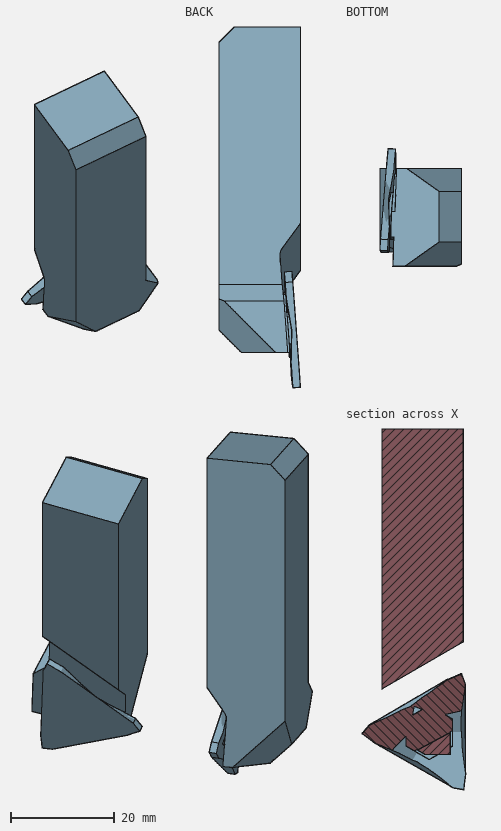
import cadquery as cq
import math

shank_width = 15.8
shank_length = 63.1
top_chamfer = 2.95

lug_depth = 3.15
lug_height = 10.0

corner_cut = 4.35
front_bevel_reach = 10.6
back_bevel_reach = 11.0
front_bevel_depth = (front_bevel_reach - corner_cut) / math.sqrt(2)
back_bevel_depth = (back_bevel_reach - corner_cut) / math.sqrt(2)

seat_offset = 3.2
seat_slope_y = 0.039
seat_slope_z = 0.073
pocket_edge = 10.1
pocket_fillet = 1.7

boss_height = 0.6
boss_corner_radius = 8.2

cutter_reach = 28

center_y = 9.2
center_z = 4.2
point_count = 3
turn = 360 / point_count
blade_thickness = 1.5
core_corner_radius = 5.25
side_relief = 1.55
hollow_depth = 0.6
hollow_half_width = 6.3

point_outline = [(11.6, 1.4), (13.0, -0.3), (11.75, -1.2), (10.5, -2.2)]


def seat_plane():
    """Plane of the seat below the insert centre: local X towards -Y, local Z out of the seat."""
    center_x = seat_offset - seat_slope_y * center_y + seat_slope_z * center_z
    return cq.Plane(
        origin=(center_x, center_y, center_z),
        xDir=(seat_slope_y, -1, 0),
        normal=(-1, -seat_slope_y, seat_slope_z),
    )


def seat_direction(degrees):
    """Unit vector lying in the seat, at an angle from its local X."""
    seat = seat_plane()
    angle = math.radians(degrees)
    return seat.xDir * math.cos(angle) + seat.yDir * math.sin(angle)


def turned(point, degrees):
    """The point turned about the insert centre."""
    angle = math.radians(degrees)
    x, y = point
    return (x * math.cos(angle) - y * math.sin(angle), x * math.sin(angle) + y * math.cos(angle))


def make_shank():
    return (
        cq.Workplane("XY")
        .box(shank_width, shank_width, shank_length, centered=False)
        .edges(">X and >Z")
        .chamfer(top_chamfer)
    )


def make_lug():
    """Full-width lug whose top slopes at 45 degrees up to the shank."""
    back = shank_width + lug_depth
    return (
        cq.Workplane("YZ")
        .moveTo(0, 0)
        .lineTo(back, 0)
        .lineTo(back, lug_height)
        .lineTo(shank_width, lug_height + lug_depth)
        .lineTo(0, lug_height + lug_depth)
        .close()
        .extrude(shank_width)
    )


def make_corner_wedge():
    """Material removed at the lower right corner, spreading towards both long edges."""
    back = shank_width + lug_depth

    def section(y, reach):
        corners = [(shank_width - reach, 0), (shank_width, 0), (shank_width, reach)]
        return cq.Wire.makePolygon([cq.Vector(x, y, z) for x, z in corners], close=True)

    sections = [
        section(0, front_bevel_reach),
        section(front_bevel_depth, corner_cut),
        section(back - back_bevel_depth, corner_cut),
        section(back, back_bevel_reach),
    ]
    return cq.Workplane(cq.Solid.makeLoft(sections, True))


def make_pocket():
    """Open pocket above the seat, with a 45 degree wall along the upper side of the insert."""
    seat = seat_plane()
    across = seat_direction(turn / 2)
    profile_plane = cq.Plane(origin=seat.origin, xDir=across, normal=across.cross(seat.zDir))
    wall_foot = seat.origin + across * pocket_edge
    return (
        cq.Workplane(profile_plane)
        .moveTo(-cutter_reach, 0)
        .lineTo(pocket_edge, 0)
        .lineTo(pocket_edge + cutter_reach, cutter_reach)
        .lineTo(-cutter_reach, cutter_reach)
        .close()
        .extrude(cutter_reach, both=True)
        .edges(cq.selectors.NearestToPointSelector(wall_foot.toTuple()))
        .fillet(pocket_fillet)
    )


def make_boss():
    """Boss with its corners under the insert points, cut off level with the lower end of the shank."""
    corners = [turned((boss_corner_radius, 0), i * turn) for i in range(point_count)]
    boss = cq.Workplane(seat_plane()).polyline(corners).close().extrude(boss_height)
    below_shank = cq.Workplane("XY").rect(2 * cutter_reach, 2 * cutter_reach).extrude(-cutter_reach)
    return boss.cut(below_shank)


def make_holder():
    body = make_shank().union(make_lug())
    return body.cut(make_corner_wedge()).cut(make_pocket()).union(make_boss())


def insert_wire(inset, height):
    """Outline of the insert at a height above the seat, the middles of its sides set in by inset."""
    shoulder = point_outline[0]
    next_heel = turned(point_outline[-1], turn)
    inset_x, inset_y = turned((inset, 0), turn / 2)
    side_middle = (
        (shoulder[0] + next_heel[0]) / 2 - inset_x,
        (shoulder[1] + next_heel[1]) / 2 - inset_y,
    )
    one_third = list(reversed(point_outline)) + [side_middle]
    corners = [turned(point, i * turn) for i in range(point_count) for point in one_third]
    seat = seat_plane()
    return cq.Wire.makePolygon([seat.toWorldCoords((x, y, height)) for x, y in corners], close=True)


def make_blade():
    """Three-pointed plate whose sides twist inwards from the points to their middles."""
    back = insert_wire(side_relief, boss_height)
    front = insert_wire(0, boss_height + blade_thickness)
    return cq.Workplane(cq.Solid.makeLoft([back, front], True))


def make_hollow(degrees):
    """Shallow V valley in the back of the blade, running outwards from the insert centre."""
    seat = seat_plane()
    outward = seat_direction(degrees)
    profile_plane = cq.Plane(origin=seat.origin, xDir=outward.cross(seat.zDir), normal=outward)
    return (
        cq.Workplane(profile_plane)
        .moveTo(-hollow_half_width, -boss_height)
        .lineTo(0, -boss_height - hollow_depth)
        .lineTo(hollow_half_width, -boss_height)
        .close()
        .extrude(cutter_reach)
    )


def make_core():
    """Hexagonal core that fills the inner ends of the hollows and rests on the boss."""
    corners = [turned((core_corner_radius, 0), turn / 4 + i * turn / 2) for i in range(2 * point_count)]
    boss_top = cq.Workplane(seat_plane()).workplane(offset=boss_height)
    return boss_top.polyline(corners).close().extrude(hollow_depth)


def make_insert():
    insert = make_blade()
    for i in range(point_count):
        insert = insert.cut(make_hollow(turn / 2 + i * turn))
    return insert.union(make_core())


holder = make_holder()
insert = make_insert()
result = cq.Compound.makeCompound([holder.solids().val(), insert.solids().val()])